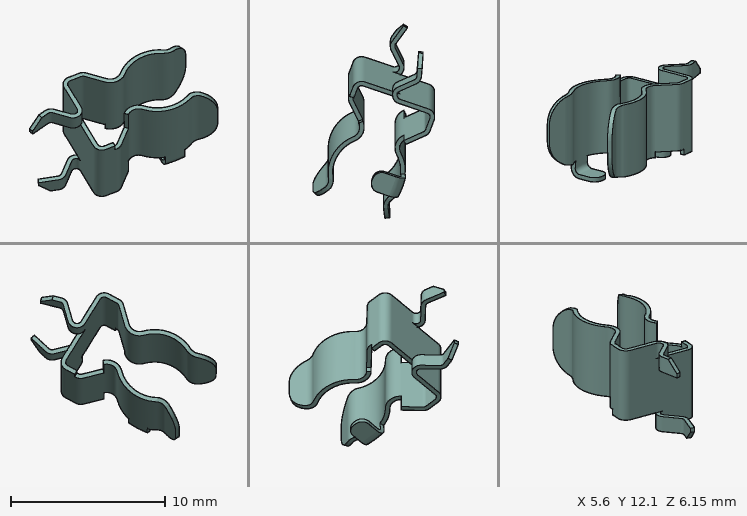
import cadquery as cq
import math


sheet = 0.3
half_sheet = sheet / 2
tight_bend_inner = 0.3
wide_bend_inner = 0.7
tight_bend = tight_bend_inner + half_sheet
wide_bend = wide_bend_inner + half_sheet

clip_length = 12.1
width = 5.6
strip_height = 5.0
tang_height = 1.09
clip_bottom = -strip_height - tang_height
tongue_bottom = -6.15

corner_x = width / 2 - half_sheet - tight_bend
wall_length = 0.77
relief_depth = 0.4
relief_into_wall = 0.11

bridge_lean = 45
bridge_length = 1.4
grip_start_angle = 46.5
grip_end_angle = 28
grip_bend = 2.58
lead_angle = 25
lead_length = 1.17
lead_corner_radius = 1.88
lead_tip_half_flat = 0.59
taper_length = 0.67

tang_start_x = -0.24
tang_turn_back = 135
tang_slope_length = 1.19
tang_tip_angle = 15
tang_nose_height = 0.3

tongue_width = 1.4
tongue_tip_x = 0.39
tongue_corner_radius = 0.6
tongue_bend_inner = 0.39


def polar(origin, radius, angle):
    """Point at a distance and direction in degrees from an origin."""
    turn = math.radians(angle)
    return (origin[0] + radius * math.cos(turn), origin[1] + radius * math.sin(turn))


def trace(start, heading, moves):
    """Follow flat and bent stretches; return segments, end point and heading.

    A move is (length,) or (radius, turn) with a left turn positive. A flat
    segment is (start, heading, length, None); a bent one is (centre, angle
    of its start seen from the centre, radius, turn).
    """
    point = start
    segments = []
    for move in moves:
        if len(move) == 1:
            length = move[0]
            segments.append((point, heading, length, None))
            point = polar(point, length, heading)
        else:
            radius, turn = move
            side = math.copysign(90, turn)
            centre = polar(point, radius, heading + side)
            segments.append((centre, heading - side, radius, turn))
            heading += turn
            point = polar(centre, radius, heading - side)
    return segments, point, heading


def bent_outline(centre, angle, radius, turn, z):
    """Closed outline of a bent stretch of sheet at one level."""
    inner = radius - half_sheet
    outer = radius + half_sheet
    middle = angle + turn / 2
    end = angle + turn
    return (
        cq.Workplane("XY", origin=(0, 0, z))
        .moveTo(*polar(centre, inner, angle))
        .threePointArc(polar(centre, inner, middle), polar(centre, inner, end))
        .lineTo(*polar(centre, outer, end))
        .threePointArc(polar(centre, outer, middle), polar(centre, outer, angle))
        .close()
    )


def flat_outline(start, heading, length, z):
    """Closed outline of a flat stretch of sheet at one level."""
    right = polar(start, half_sheet, heading - 90)
    left = polar(start, half_sheet, heading + 90)
    corners = [right, polar(right, length, heading), polar(left, length, heading), left]
    return cq.Workplane("XY", origin=(0, 0, z)).polyline(corners).close()


def segment_solid(segment, bottom, top):
    """One flat or bent stretch of sheet standing between two Z levels."""
    origin, angle, size, turn = segment
    if turn is None:
        outline = flat_outline(origin, angle, size, bottom)
    else:
        outline = bent_outline(origin, angle, size, turn, bottom)
    return outline.extrude(top - bottom)


def strip(segments, bottom, top):
    """A whole run of segments joined into one body."""
    body = segment_solid(segments[0], bottom, top)
    for segment in segments[1:]:
        body = body.union(segment_solid(segment, bottom, top))
    return body


def turn_over(body):
    """Half turn about the Y-parallel axis at mid-height of the clip."""
    return body.rotate((0, 0, clip_bottom / 2), (0, 1, clip_bottom / 2), 180)


def sheet_face(tip, heading, z):
    """Plane on the sheet at a strip's tip: x runs back along it, y along Z."""
    back = polar((0, 0), 1, heading + 180)
    across = polar((0, 0), 1, heading + 90)
    return cq.Plane(origin=(*tip, z), xDir=(*back, 0), normal=(*across, 0))


base_moves = [
    (corner_x + tang_start_x,),
    (tight_bend, -90),
    (wall_length,),
    (tight_bend, -bridge_lean),
    (bridge_length,),
]
arm_moves = [
    (wide_bend, bridge_lean + grip_start_angle),
    (grip_bend, -grip_start_angle - grip_end_angle),
    (wide_bend, grip_end_angle + lead_angle),
    (lead_length,),
]
base_path, neck_start, neck_heading = trace((tang_start_x, half_sheet), 180, base_moves)
arm_path, lead_tip, lead_heading = trace(neck_start, neck_heading, arm_moves)
grip_centre = arm_path[1][0]


def left_base():
    """Left of the back plate, wall and bridge, relieved under the bridge."""
    wall_end_y = tight_bend + half_sheet + wall_length
    relief = (
        cq.Workplane("XY", origin=(0, wall_end_y - relief_into_wall, -strip_height))
        .rect(width, neck_start[1], centered=(True, False))
        .extrude(relief_depth)
    )
    return strip(base_path, -strip_height, 0).cut(relief)


def round_lead(arm):
    """Round the end of the lead-in and taper its edges across the flare bend."""
    half = strip_height / 2
    end_angle = math.acos(1 - lead_length / lead_corner_radius)

    def corner_point(angle):
        along = lead_corner_radius * (1 - math.cos(angle))
        return along, lead_tip_half_flat + lead_corner_radius * math.sin(angle)

    taper_end = lead_length + taper_length
    waste = (
        cq.Workplane(sheet_face(lead_tip, lead_heading, -half))
        .moveTo(0, lead_tip_half_flat)
        .threePointArc(corner_point(end_angle / 2), corner_point(end_angle))
        .lineTo(taper_end, half)
        .lineTo(taper_end, half + sheet)
        .lineTo(-sheet, half + sheet)
        .lineTo(-sheet, lead_tip_half_flat)
        .close()
        .extrude(2 * sheet, both=True)
    )
    mid_height = (0, 0, -half)
    return arm.cut(waste).cut(waste.mirror("XY", mid_height))


def left_arm():
    """Neck, grip arc and flared lead-in."""
    return round_lead(strip(arm_path, -strip_height, 0))


def upper_tang():
    """Tang folded out of the back plate, its tip sloped on the top edge."""
    start = (tang_start_x, half_sheet)
    moves = [
        (tight_bend, -tang_turn_back),
        (tang_slope_length,),
        (tight_bend, tang_turn_back - 90 + tang_tip_angle),
    ]
    _, tip_start, _ = trace(start, 0, moves)
    lean = math.radians(tang_tip_angle)
    arm_end_y = lead_tip[1] + half_sheet * math.sin(math.radians(lead_angle))
    tip_drop = tip_start[1] - half_sheet * math.sin(lean) - (arm_end_y - clip_length)
    moves.append((tip_drop / math.cos(lean),))
    path, tip, heading = trace(start, 0, moves)

    slope = tang_height - tang_nose_height
    waste = (
        cq.Workplane(sheet_face(tip, heading, 0))
        .polyline([(0, 0), (slope, 0), (0, -slope)])
        .close()
        .extrude(sheet, both=True)
    )
    return strip(path, -tang_height, 0).cut(waste)


def middle_plate():
    """Back plate between the two tangs, below one and above the other."""
    height = strip_height - tang_height
    centre_z = -tang_height - height / 2
    return cq.Workplane("XY", origin=(0, half_sheet, centre_z)).box(-2 * tang_start_x, sheet, height)


def tongue():
    """Flat tongue whose bent neck blends from a straight end into the curved arm."""
    arm_x = grip_bend - grip_centre[0]
    centre_y = grip_centre[1]
    mid_z = tongue_bottom + half_sheet
    bend_radius = tongue_bend_inner + half_sheet
    bend_start = arm_x - bend_radius
    flat_length = bend_start - tongue_tip_x
    flat = (
        cq.Workplane("XY", origin=(tongue_tip_x + flat_length / 2, centre_y, mid_z))
        .box(flat_length, tongue_width, sheet)
        .edges("|Z and <X")
        .fillet(tongue_corner_radius)
    )
    diagonal = bend_radius * math.sqrt(0.5)
    neck_line = (
        cq.Workplane("XZ", origin=(bend_start, centre_y, mid_z))
        .threePointArc((diagonal, bend_radius - diagonal), (bend_radius, bend_radius))
        .lineTo(bend_radius, -strip_height - mid_z)
    )
    half_angle = math.degrees(math.asin(tongue_width / 2 / (grip_bend + half_sheet)))
    arm_axis = (-grip_centre[0], centre_y)
    neck_top = bent_outline(arm_axis, -half_angle, grip_bend, 2 * half_angle, -strip_height)
    neck = (
        cq.Workplane("YZ", origin=(bend_start, centre_y, mid_z))
        .rect(tongue_width, sheet)
        .add(neck_top)
        .toPending()
        .sweep(neck_line, multisection=True)
    )
    return flat.union(neck)


base = left_base()
arm = left_arm()
tang = upper_tang()

result = (
    middle_plate()
    .union(base)
    .union(turn_over(base))
    .union(tang)
    .union(turn_over(tang))
    .union(arm)
    .union(arm.mirror("YZ"))
    .union(tongue())
)